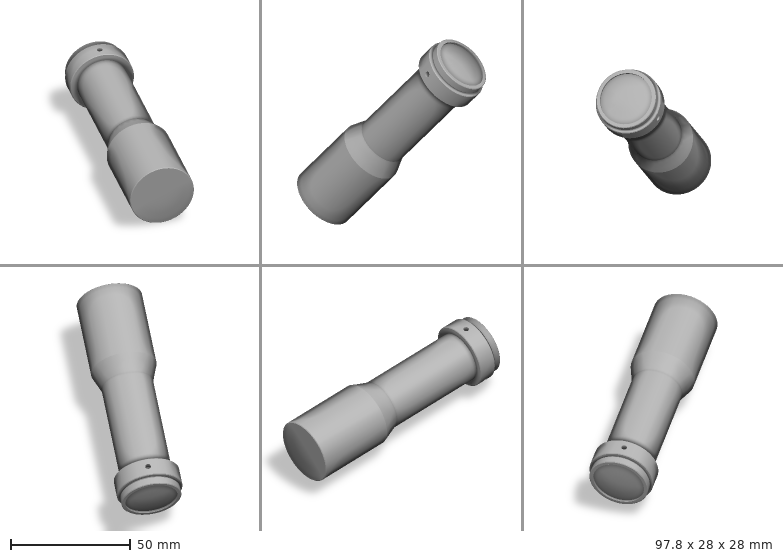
import cadquery as cq
import math

length = 97.8
body_radius = 14.0
edge_chamfer = 0.3

ring_radius = 12.8
ring_end = 3.1
groove_radius = 12.2
collar_start = 3.9
collar_end = 11.8

tube_radius = 11.0
cone_start = 55.85
barrel_start = 64.0

lens_radius = 11.15
recess_depth = 1.0
lens_rise = 0.8

screw_count = 3
screw_diameter = 2.3
screw_depth = 2.4
screw_x = 8.0


def make_body():
    """Revolve the outer outline, including the domed lens surface."""
    profile = (
        cq.Workplane("XY")
        .moveTo(recess_depth - lens_rise, 0)
        .threePointArc(lens_arc_point(), (recess_depth, lens_radius))
        .lineTo(0, lens_radius)
        .lineTo(0, ring_radius - edge_chamfer)
        .lineTo(edge_chamfer, ring_radius)
        .lineTo(ring_end, ring_radius)
        .lineTo(ring_end, groove_radius)
        .lineTo(collar_start, groove_radius)
        .lineTo(collar_start, body_radius - edge_chamfer)
        .lineTo(collar_start + edge_chamfer, body_radius)
        .lineTo(collar_end - edge_chamfer, body_radius)
        .lineTo(collar_end, body_radius - edge_chamfer)
        .lineTo(collar_end, tube_radius)
        .lineTo(cone_start, tube_radius)
        .lineTo(barrel_start, body_radius)
        .lineTo(length - edge_chamfer, body_radius)
        .lineTo(length, body_radius - edge_chamfer)
        .lineTo(length, 0)
        .close()
    )
    return profile.revolve(360, (0, 0, 0), (1, 0, 0))


def lens_arc_point():
    """Point on the spherical lens outline at half the lens radius."""
    sphere_radius = (lens_radius**2 + lens_rise**2) / (2 * lens_rise)
    height = lens_radius / 2
    sag = sphere_radius - math.sqrt(sphere_radius**2 - height**2)
    return recess_depth - lens_rise + sag, height


def make_screw_hole(angle):
    """Blind radial hole, turned about X from the +Z direction."""
    hole = (
        cq.Workplane("XY", origin=(screw_x, 0, body_radius - screw_depth))
        .circle(screw_diameter / 2)
        .extrude(2 * screw_depth)
    )
    return hole.rotate((0, 0, 0), (1, 0, 0), angle)


result = make_body()
for index in range(screw_count):
    result = result.cut(make_screw_hole(index * 360 / screw_count))